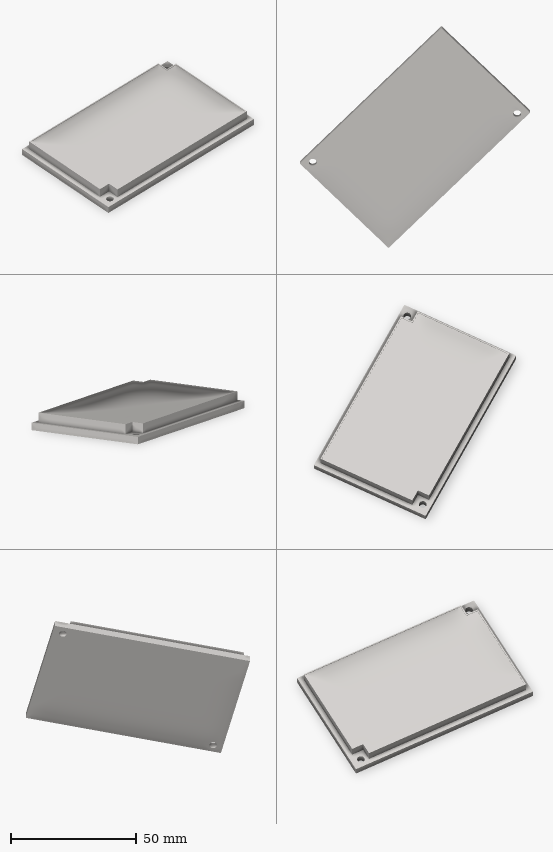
import cadquery as cq

width = 50.0
length = 80.0
total_height = 7.0
base_height = 3.0

block_margin = 2.0
notch_size = 5.0

rim_width = 0.5
recess_depth = 0.2

hole_diameter = 3.0
hole_inset_x = 3.3
hole_inset_y = 4.0


def notched_prism(margin, bottom, height):
    """Prism inset from the plate edges, notched at its (-X, +Y) and (+X, -Y) corners."""
    half_x = width / 2 - margin
    half_y = length / 2 - margin
    step_x = half_x - notch_size
    step_y = half_y - notch_size
    outline = [
        (-half_x, -half_y),
        (step_x, -half_y),
        (step_x, -step_y),
        (half_x, -step_y),
        (half_x, half_y),
        (-step_x, half_y),
        (-step_x, step_y),
        (-half_x, step_y),
    ]
    return cq.Workplane("XY").workplane(offset=bottom).polyline(outline).close().extrude(height)


base = cq.Workplane("XY").box(width, length, base_height, centered=(True, True, False))
block = notched_prism(block_margin, base_height, total_height - base_height)
recess = notched_prism(block_margin + rim_width, total_height - recess_depth, recess_depth)

hole_x = width / 2 - hole_inset_x
hole_y = length / 2 - hole_inset_y
holes = (
    cq.Workplane("XY")
    .pushPoints([(-hole_x, hole_y), (hole_x, -hole_y)])
    .circle(hole_diameter / 2)
    .extrude(base_height)
)

result = base.union(block).cut(recess).cut(holes)